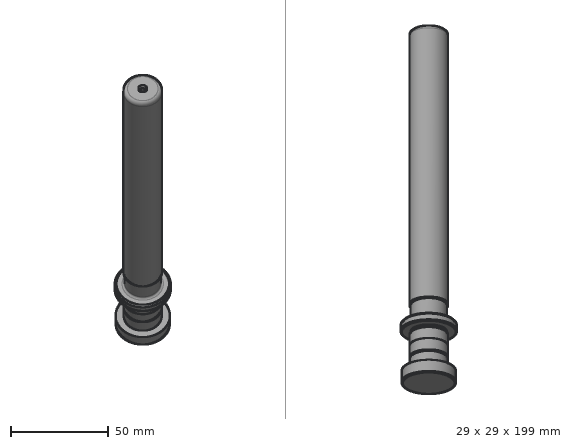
import cadquery as cq

total_height = 199.0
cap_head_top = 7.0
shank_bottom = 14.1
shank_fit_end = 21.0
shank_top = 28.0
flange_bottom = 29.0
flange_top = 33.8
guide_bottom = 44.0

guide_diameter = 20.0
shank_diameter = 20.0
shank_lead_diameter = 19.9
neck_diameter = 19.0
flange_diameter = 29.0
cap_head_diameter = 28.0
cap_hub_diameter = 19.7

tip_fillet = 2.2
guide_chamfer = (guide_diameter - neck_diameter) / 2
shank_top_chamfer_height = 0.8
shank_bottom_chamfer = 0.5
neck_fillet = 1.2
flange_top_chamfer = 1.0
flange_bottom_chamfer = 0.5
cap_chamfer = 0.5

centre_hole_diameter = 2.4
centre_hole_depth = 5.0
centre_mouth_diameter = 4.5


def cylinder(diameter, bottom, top):
    """Vertical cylinder on the Z axis between two heights."""
    return cq.Workplane("XY").workplane(offset=bottom).circle(diameter / 2).extrude(top - bottom)


def make_guide():
    """Long sliding length with a rounded tip and a chamfered lower edge."""
    guide = cylinder(guide_diameter, guide_bottom, total_height)
    return guide.faces(">Z").edges().fillet(tip_fillet).faces("<Z").edges().chamfer(guide_chamfer)


def make_flange():
    """Locating collar with both rims chamfered."""
    flange = cylinder(flange_diameter, flange_bottom, flange_top)
    flange = flange.faces(">Z").edges().chamfer(flange_top_chamfer)
    return flange.faces("<Z").edges().chamfer(flange_bottom_chamfer)


def make_neck_root():
    """Concave ring that blends the neck into the top of the flange."""
    neck_radius = neck_diameter / 2
    root_radius = neck_radius + neck_fillet
    arc_start = (root_radius, flange_top)
    arc_end = (neck_radius, flange_top + neck_fillet)
    profile = cq.Workplane("XZ").moveTo(0, flange_top).lineTo(*arc_start)
    profile = profile.radiusArc(arc_end, neck_fillet)
    return profile.lineTo(0, flange_top + neck_fillet).close().revolve(360, (0, 0), (0, 1))


def make_shank():
    """Seating shank with a slightly smaller lead-in at its lower end."""
    fit = cylinder(shank_diameter, shank_fit_end, shank_top)
    top_chamfer_width = (shank_diameter - neck_diameter) / 2
    fit = fit.faces(">Z").edges().chamfer(shank_top_chamfer_height, top_chamfer_width)
    lead = cylinder(shank_lead_diameter, shank_bottom, shank_fit_end)
    lead = lead.faces("<Z").edges().chamfer(shank_bottom_chamfer)
    return fit.union(lead)


def make_centre_hole():
    """Blind hole with a 90 degree countersunk mouth."""
    hole = cylinder(centre_hole_diameter, total_height - centre_hole_depth, total_height)
    hole_radius = centre_hole_diameter / 2
    mouth_radius = centre_mouth_diameter / 2
    mouth_depth = mouth_radius - hole_radius
    mouth = cq.Solid.makeCone(
        hole_radius, mouth_radius, mouth_depth, pnt=cq.Vector(0, 0, total_height - mouth_depth)
    )
    return hole.union(cq.Workplane(mouth))


def make_pillar():
    """Guide pillar: guide, neck, flange and shank in one piece."""
    pillar = cylinder(neck_diameter, shank_top, guide_bottom)
    for section in (make_guide(), make_flange(), make_neck_root(), make_shank()):
        pillar = pillar.union(section)
    return pillar.cut(make_centre_hole())


def make_end_cap():
    """Headed cap whose hub bears on the lower end of the pillar."""
    head = cylinder(cap_head_diameter, 0, cap_head_top).faces("<Z").edges().chamfer(cap_chamfer)
    hub = cylinder(cap_hub_diameter, cap_head_top, shank_bottom)
    return head.union(hub)


pillar = make_pillar()
end_cap = make_end_cap()
result = cq.Compound.makeCompound([pillar.val(), end_cap.val()])